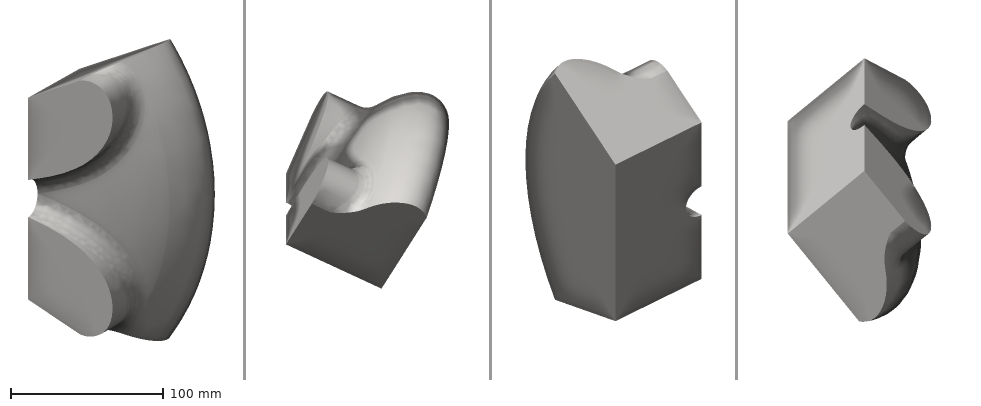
import cadquery as cq
import math

depth = 70.0
outer_radius = 175.0
reach = 105.31
left_half_height = 69.8
end_angle = 24.75
fillet_radius = 12.75
pad_half_gap = 12.8
trim_margin = 40.0

axis_x = reach - outer_radius
valley_depth = depth - fillet_radius

body_profile = [
    (0.0, valley_depth),
    (38.0, 53.4),
    (68.3, 45.9),
    (88.0, 36.0),
    (100.6, 23.6),
    (reach, 10.8),
    (100.8, 0.0),
]

pad_edge = [
    (0.0, pad_half_gap),
    (20.0, 19.1),
    (39.3, 28.5),
    (56.7, 45.3),
    (63.3, 65.0),
    (56.9, 83.2),
    (43.0, 88.3),
    (37.5, 87.2),
]


def make_body():
    """Smooth solid of revolution about an axis parallel to Y, with its seam away from the part."""
    points = [(x, -front) for x, front in body_profile]
    section = (
        cq.Workplane("XY")
        .moveTo(axis_x, 0)
        .lineTo(axis_x, -valley_depth)
        .lineTo(*points[0])
        .spline(points[1:], includeCurrent=True)
        .close()
    )
    axis_start = (axis_x, 0, 0)
    axis_end = (axis_x, 1, 0)
    seam_turn = 90
    return section.revolve(360, axis_start, axis_end).rotate(axis_start, axis_end, seam_turn)


def make_pad():
    """Upper pad: straight walls from the back to the flat pad face."""
    top_z = pad_edge[-1][1]
    return (
        cq.Workplane("XZ")
        .moveTo(*pad_edge[0])
        .spline(pad_edge[1:], includeCurrent=True)
        .lineTo(0, top_z)
        .close()
        .extrude(depth)
    )


def make_envelope(bottom_z):
    """Prism bounded by the left side, the upper end face and a level bottom."""
    far_x = reach + trim_margin
    far_z = left_half_height + far_x * math.tan(math.radians(end_angle))
    outline = [(0, bottom_z), (far_x, bottom_z), (far_x, far_z), (0, left_half_height)]
    return cq.Workplane("XZ").polyline(outline).close().extrude(depth)


def find_pad_foot(solid):
    """Curved edge where the pad wall meets the body."""
    pad_reach = max(x for x, z in pad_edge)
    box_low = (pad_reach / 2, -valley_depth, 0)
    box_high = (pad_reach, 0, left_half_height)
    in_box = cq.selectors.BoxSelector(box_low, box_high)
    return solid.edges("%BSPLINE").edges(in_box)


def make_upper_half(body):
    """Upper half with its filleted pad; the fillet is made on a piece that overshoots z = 0."""
    oversize = body.union(make_pad()).intersect(make_envelope(-trim_margin))
    filleted = find_pad_foot(oversize).fillet(fillet_radius)
    return filleted.intersect(make_envelope(0))


def make_part():
    """One continuous body between the end faces, carrying the two mirrored pads."""
    body = make_body()
    half_envelope = make_envelope(0)
    core = body.intersect(half_envelope.union(half_envelope.mirror("XY")))
    upper = make_upper_half(body)
    return core.union(upper).union(upper.mirror("XY")).clean()


result = make_part()